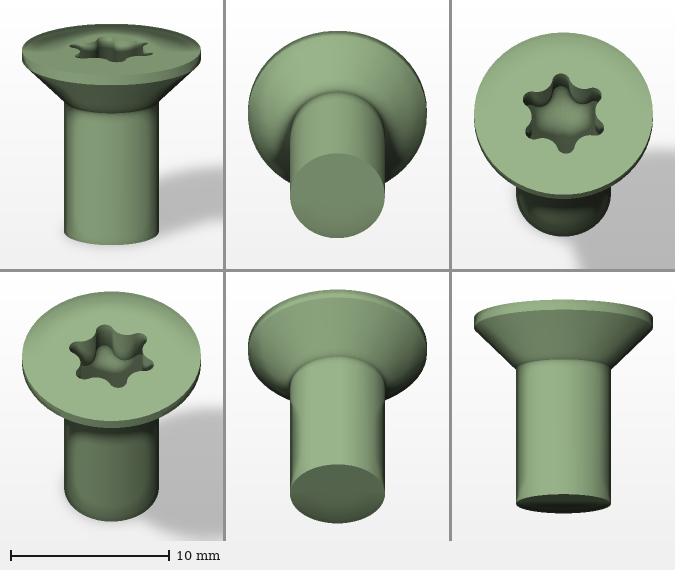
import cadquery as cq
import math

total_length = 12.0
head_diameter = 11.3
shank_diameter = 6.0
rim_height = 0.65
countersink_angle = 90.0

lobe_count = 6
lobe_tip_radius = 2.8
valley_radius = 2.02
lobe_round = 0.55
lobe_depth = 1.9
floor_slope = 30.0

head_radius = head_diameter / 2
shank_radius = shank_diameter / 2
cone_height = (head_radius - shank_radius) / math.tan(math.radians(countersink_angle / 2))
rim_bottom = total_length - rim_height
cone_bottom = rim_bottom - cone_height


def polar(radius, angle):
    """Point at a radius and an angle in radians."""
    return (radius * math.cos(angle), radius * math.sin(angle))


def make_body():
    """Shank, conical head and rim revolved around Z."""
    return (
        cq.Workplane("XZ")
        .moveTo(0, 0)
        .lineTo(shank_radius, 0)
        .lineTo(shank_radius, cone_bottom)
        .lineTo(head_radius, rim_bottom)
        .lineTo(head_radius, total_length)
        .lineTo(0, total_length)
        .close()
        .revolve(360, (0, 0, 0), (0, 1, 0))
    )


def make_lobe_prism(depth):
    """Six-lobe prism sunk from the head face; lobe ends and valleys are tangent arcs."""
    half_pitch = math.pi / lobe_count
    lobe_center = lobe_tip_radius - lobe_round

    lobe_reach = lobe_center * math.cos(half_pitch)
    valley_excess = lobe_center**2 + valley_radius**2 - lobe_round**2 - 2 * valley_radius * lobe_reach
    valley_round = valley_excess / (2 * (lobe_round - valley_radius + lobe_reach))

    valley_x, valley_y = polar(valley_radius + valley_round, half_pitch)
    share = lobe_round / (lobe_round + valley_round)
    tangent_x = lobe_center + share * (valley_x - lobe_center)
    tangent_y = share * valley_y
    tangent_radius = math.hypot(tangent_x, tangent_y)
    tangent_angle = math.atan2(tangent_y, tangent_x)

    head_face = cq.Workplane("XY", origin=(0, 0, total_length))
    outline = head_face.moveTo(*polar(tangent_radius, -tangent_angle))
    for index in range(lobe_count):
        angle = 2 * half_pitch * index
        next_angle = angle + 2 * half_pitch
        outline = outline.threePointArc(
            polar(lobe_tip_radius, angle),
            polar(tangent_radius, angle + tangent_angle),
        ).threePointArc(
            polar(valley_radius, angle + half_pitch),
            polar(tangent_radius, next_angle - tangent_angle),
        )
    return outline.close().extrude(-depth)


def make_socket():
    """Lobe prism limited below by a conical floor with its apex on the axis."""
    apex_drop = lobe_tip_radius * math.tan(math.radians(floor_slope))
    socket_depth = lobe_depth + apex_drop
    envelope = (
        cq.Workplane("XZ")
        .moveTo(0, total_length)
        .lineTo(lobe_tip_radius, total_length)
        .lineTo(lobe_tip_radius, total_length - lobe_depth)
        .lineTo(0, total_length - socket_depth)
        .close()
        .revolve(360, (0, 0, 0), (0, 1, 0))
    )
    return make_lobe_prism(socket_depth).intersect(envelope)


result = make_body().cut(make_socket())